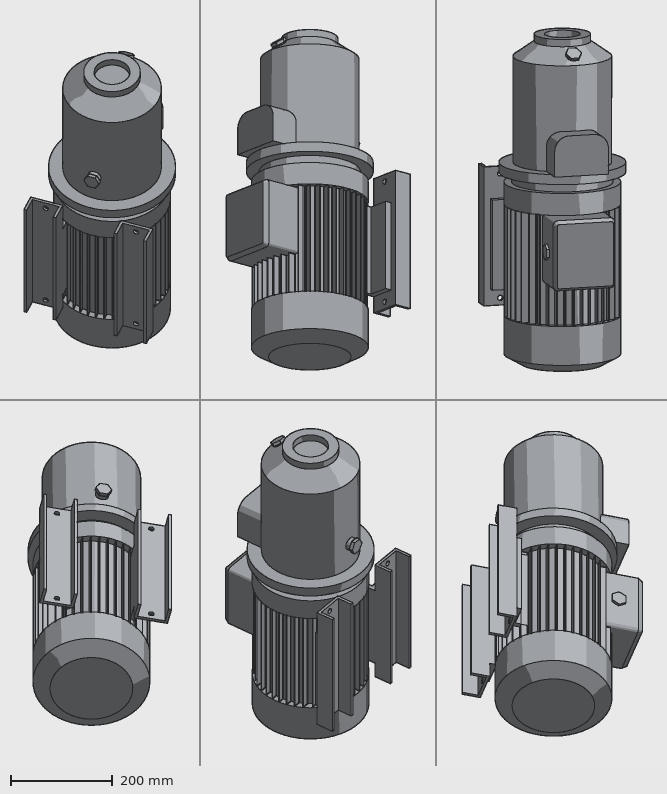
import cadquery as cq
import math


cowl_bevel_height = 19.0
fins_bottom = 97.5
fins_top = 320.5
shell_top = 365.0
flange_bottom = 385.0
flange_top = 405.0
cowl_bottom_radius = 81.5
shell_radius = 115.0
core_radius = 102.0
neck_radius = 100.0
flange_radius = 125.0

fin_thickness = 1.65
fin_pitch_angle = 8.4
fins_per_half_side = 5
outer_fin_reach = 87.5

rail_outer_x = 128.85
rail_width = 67.5
rail_depth = 38.0
rail_wall = 6.0
rail_back_y = -112.5
rail_bottom = 99.5
rail_top = 379.0
rail_hole_radius = 5.0
rail_hole_end_distance = 14.5
foot_outer_x = 115.0
foot_thickness = 14.0
foot_web_thickness = 9.0
foot_bottom = 133.0
foot_top = 315.0

terminal_box_width = 126.5
terminal_box_bottom = 179.5
terminal_box_end_y = 166.0
terminal_box_corner_radius = 10.0
lid_bevel_depth = 10.0
lid_bevel_inset = 6.0
gland_y = 115.0
gland_length = 5.0

barrel_radius = 97.5
barrel_top = 618.0
collar_bottom = 648.0
pump_top = 662.5
collar_radius = 55.5
bore_radius = 35.0
bore_depth = 14.5
port_width = 110.0
port_top = 486.0
port_end_y = 139.0
port_corner_radius = 30.0

hex_across_flats = 28.0
plug_neck_radius = 13.0
drain_plug_z = 464.5
drain_plug_neck_length = 9.0
drain_plug_head_length = 8.0
vent_plug_neck_length = 2.0
vent_plug_head_length = 6.5
plug_root = 6.5


def box_between(x_range, y_range, z_range):
    """Box given by its lower and upper limit along each axis."""
    size = [high - low for low, high in (x_range, y_range, z_range)]
    corner = (x_range[0], y_range[0], z_range[0])
    return cq.Workplane("XY").box(*size, centered=False).translate(corner)


def disc(radius, bottom, top):
    """Cylinder on the Z axis between two levels."""
    return cq.Workplane("XY").workplane(offset=bottom).circle(radius).extrude(top - bottom)


def hexagon(plane, length):
    """Hexagonal prism with corners on the local x axis of the plane."""
    corner_diameter = hex_across_flats / math.cos(math.radians(30))
    return cq.Workplane(plane).polygon(6, corner_diameter).extrude(length)


def plug(point, normal, neck_length, head_length):
    """Plug on a wall point: a round neck that is rooted in the wall, and a hexagonal head."""
    wall = cq.Plane(origin=point, xDir=(1, 0, 0), normal=normal)
    neck = cq.Workplane(wall).workplane(offset=-plug_root).circle(plug_neck_radius)
    head_plane = cq.Plane(origin=wall.toWorldCoords((0, 0, neck_length)), xDir=(1, 0, 0), normal=normal)
    return neck.extrude(plug_root + neck_length).union(hexagon(head_plane, head_length))


def motor_frame():
    """Turned motor frame: bevelled cowl, slimmer core behind the fins, shell, neck and flange."""
    profile = [
        (0, 0),
        (cowl_bottom_radius, 0),
        (shell_radius, cowl_bevel_height),
        (shell_radius, fins_bottom),
        (core_radius, fins_bottom),
        (core_radius, fins_top),
        (shell_radius, fins_top),
        (shell_radius, shell_top),
        (neck_radius, shell_top),
        (neck_radius, flange_bottom),
        (flange_radius, flange_bottom),
        (flange_radius, flange_top),
        (0, flange_top),
    ]
    return cq.Workplane("XZ").polyline(profile).close().revolve(360, (0, 0), (0, 1))


def cooling_fins():
    """Flat fins parallel to X on the left and right sides, and parallel to Y on the other two."""
    plates = cq.Workplane("XY")
    for index in range(fins_per_half_side):
        offset = shell_radius * math.sin(math.radians(fin_pitch_angle * (index + 0.5)))
        reach = outer_fin_reach if index == fins_per_half_side - 1 else shell_radius
        for position in (-offset, offset):
            across = (position - fin_thickness / 2, position + fin_thickness / 2)
            along = (-reach, reach)
            height = (fins_bottom, fins_top)
            plates = plates.union(box_between(along, across, height))
            plates = plates.union(box_between(across, along, height))
    return plates.intersect(disc(shell_radius, fins_bottom, fins_top))


def rail_with_foot():
    """Channel rail on the +X side, open towards -Y, with the motor foot that carries it."""
    inner_x = rail_outer_x - rail_width
    channel_y = rail_back_y - rail_depth
    rail = box_between((inner_x, rail_outer_x), (channel_y, rail_back_y), (rail_bottom, rail_top))
    groove = box_between(
        (inner_x + rail_wall, rail_outer_x - rail_wall),
        (channel_y, rail_back_y - rail_wall),
        (rail_bottom, rail_top),
    )
    rail = rail.cut(groove)

    hole_x = rail_outer_x - rail_width / 2
    for hole_z in (rail_bottom + rail_hole_end_distance, rail_top - rail_hole_end_distance):
        hole = cq.Workplane("XZ", origin=(hole_x, rail_back_y, hole_z)).circle(rail_hole_radius)
        rail = rail.cut(hole.extrude(rail_wall))

    foot_z = (foot_bottom, foot_top)
    plate = box_between((inner_x, foot_outer_x), (rail_back_y, rail_back_y + foot_thickness), foot_z)
    core_y = -math.sqrt(core_radius**2 - (inner_x + foot_web_thickness) ** 2)
    web = box_between((inner_x, inner_x + foot_web_thickness), (rail_back_y, core_y), foot_z)
    return rail.union(plate).union(web)


def terminal_box():
    """Terminal box on the +Y side: rounded corners, bevelled lid and a hexagonal cable gland."""
    height = fins_top - terminal_box_bottom
    middle_z = (terminal_box_bottom + fins_top) / 2
    lid_y = terminal_box_end_y - lid_bevel_depth
    outline = cq.Sketch().rect(terminal_box_width, height).vertices().fillet(terminal_box_corner_radius)

    box = cq.Workplane("XZ", origin=(0, 0, middle_z)).placeSketch(outline).extrude(-lid_y)
    lid_plane = cq.Plane(origin=(0, lid_y, middle_z), xDir=(1, 0, 0), normal=(0, 1, 0))
    bevel_angle = math.degrees(math.atan2(lid_bevel_inset, lid_bevel_depth))
    lid = cq.Workplane(lid_plane).placeSketch(outline).extrude(lid_bevel_depth, taper=bevel_angle)

    gland_origin = (terminal_box_width / 2, gland_y, middle_z)
    gland_plane = cq.Plane(origin=gland_origin, xDir=(0, 0, 1), normal=(1, 0, 0))
    return box.union(lid).union(hexagon(gland_plane, gland_length))


def build_motor():
    right_rail = rail_with_foot()
    left_rail = right_rail.mirror("YZ")
    motor = motor_frame().union(cooling_fins()).union(terminal_box())
    return motor.union(right_rail).union(left_rail)


def pump_housing():
    """Turned pump housing: barrel, conical shoulder and collar with a blind bore."""
    profile = [
        (0, flange_top),
        (barrel_radius, flange_top),
        (barrel_radius, barrel_top),
        (collar_radius, collar_bottom),
        (collar_radius, pump_top),
        (bore_radius, pump_top),
        (bore_radius, pump_top - bore_depth),
        (0, pump_top - bore_depth),
    ]
    return cq.Workplane("XZ").polyline(profile).close().revolve(360, (0, 0), (0, 1))


def side_port():
    """Port block on the +Y side of the barrel, rounded along its two upper edges."""
    block = box_between((-port_width / 2, port_width / 2), (0, port_end_y), (flange_top, port_top))
    return block.edges("|Y and >Z").fillet(port_corner_radius)


def drain_plug():
    """Plug low on the -Y side of the barrel."""
    point = (0, -barrel_radius, drain_plug_z)
    return plug(point, (0, -1, 0), drain_plug_neck_length, drain_plug_head_length)


def vent_plug():
    """Plug square to the conical shoulder, halfway up its +Y side."""
    point = (0, (barrel_radius + collar_radius) / 2, (barrel_top + collar_bottom) / 2)
    normal = (0, collar_bottom - barrel_top, barrel_radius - collar_radius)
    return plug(point, normal, vent_plug_neck_length, vent_plug_head_length)


def build_pump():
    return pump_housing().union(side_port()).union(drain_plug()).union(vent_plug())


motor = build_motor()
pump = build_pump()

result = cq.Compound.makeCompound([*motor.solids().vals(), *pump.solids().vals()])